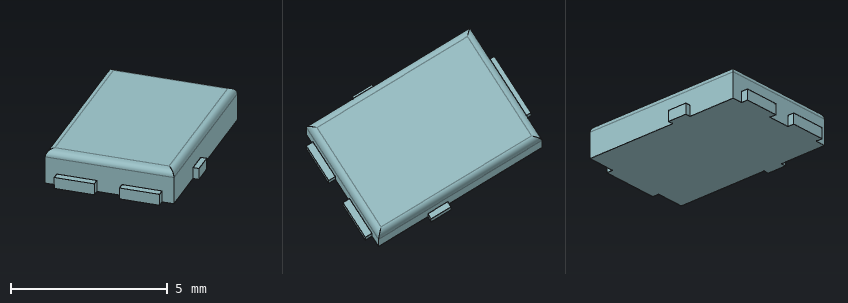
import cadquery as cq

body_width = 4.35
body_length = 6.15
body_height = 1.2
top_edge_radius = 0.25

lead_height = 0.4
end_lead_reach = 0.25
side_lead_reach = 0.2

front_lead_width = 1.35
front_lead_spacing = 2.2
back_lead_width = 2.2
side_lead_width = 0.75
side_lead_y = -0.85


def make_body():
    """Rectangular body with its four top edges rounded."""
    block = cq.Workplane("XY").box(body_width, body_length, body_height, centered=(True, True, False))
    return block.faces(">Z").edges().fillet(top_edge_radius)


def make_lead(size_x, size_y, center_x, center_y):
    """Rectangular lead standing on the base plane."""
    lead = cq.Workplane("XY").box(size_x, size_y, lead_height, centered=(True, True, False))
    return lead.translate((center_x, center_y, 0))


end_lead_y = (body_length + end_lead_reach) / 2
side_lead_x = (body_width + side_lead_reach) / 2

result = make_body()

result = result.union(make_lead(back_lead_width, end_lead_reach, 0, end_lead_y))

for side in (-1, 1):
    front_lead_x = side * front_lead_spacing / 2
    result = result.union(make_lead(front_lead_width, end_lead_reach, front_lead_x, -end_lead_y))
    result = result.union(make_lead(side_lead_reach, side_lead_width, side * side_lead_x, side_lead_y))